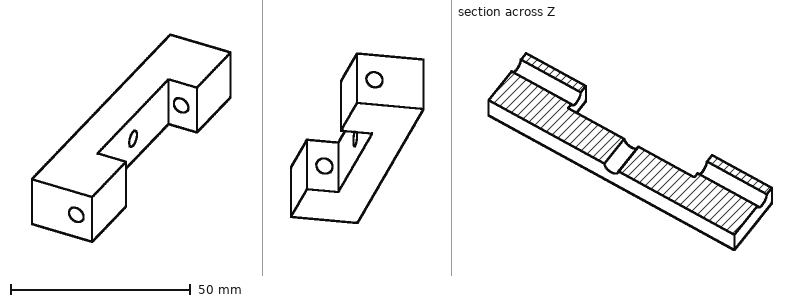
import cadquery as cq

width = 19.0
length = 82.0
height = 15.0

arm_length = 20.0
web_thickness = 10.1
recess_depth = width - web_thickness
recess_length = length - 2 * arm_length

hole_diameter = 4.6
arm_hole_edge_distance = 5.0
arm_hole_x = width / 2 - arm_hole_edge_distance


def make_body():
    """C-shaped bar centred on the origin."""
    block = cq.Workplane("XY").box(width, length, height)
    recess_center_x = width / 2 - recess_depth / 2
    recess = (
        cq.Workplane("XY")
        .box(recess_depth, recess_length, height)
        .translate((recess_center_x, 0, 0))
    )
    return block.cut(recess)


def make_arm_holes():
    """One bore along Y that passes through both arms."""
    return (
        cq.Workplane("XZ")
        .center(arm_hole_x, 0)
        .circle(hole_diameter / 2)
        .extrude(length / 2, both=True)
    )


def make_web_hole():
    """Bore along X through the middle of the web."""
    return (
        cq.Workplane("YZ")
        .circle(hole_diameter / 2)
        .extrude(width / 2, both=True)
    )


result = make_body().cut(make_arm_holes()).cut(make_web_hole())